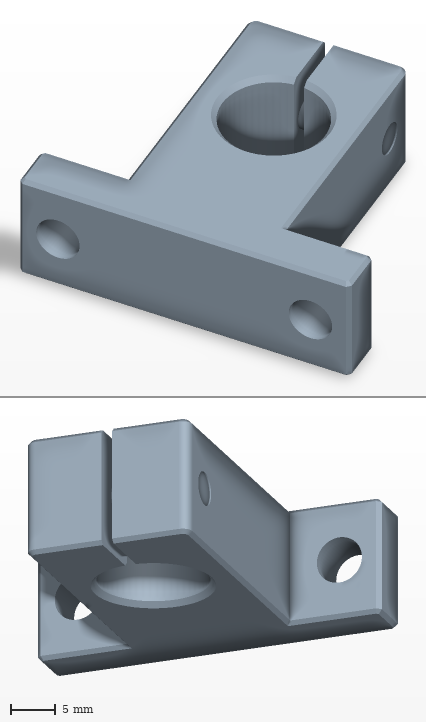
import cadquery as cq

foot_width = 42.0
total_height = 37.5
thickness = 14.0
foot_height = 6.0
neck_width = 20.0
edge_chamfer = 0.45
foot_corner_chamfer = 0.5
neck_corner_radius = 1.18

bore_diameter = 13.0
bore_chamfer = 0.65
bore_y = 23.0
slot_width = 1.3

mount_hole_diameter = 5.5
mount_hole_spacing = 32.0

pin_diameter = 4.0
pin_y = total_height - 5.0
pin_recess = 0.2
pin_length = neck_width - 2 * pin_recess


def make_blank():
    """T-shaped block with its outer edges broken, centred on X = 0 and Z = 0."""
    foot = (
        cq.Workplane("XY")
        .box(foot_width, foot_height, thickness, centered=(True, False, True))
        .edges("|Z")
        .chamfer(foot_corner_chamfer)
    )
    neck = (
        cq.Workplane("XY")
        .box(neck_width, total_height, thickness, centered=(True, False, True))
        .edges("|Z and >Y")
        .fillet(neck_corner_radius)
    )
    return foot.union(neck).faces("<Z or >Z").edges().chamfer(edge_chamfer)


def cut_bore(body):
    """Cut the shaft bore and chamfer both of its mouths."""
    body = body.cut(
        cq.Workplane("XY")
        .center(0, bore_y)
        .circle(bore_diameter / 2)
        .extrude(thickness / 2, both=True)
    )
    mouths = body.faces("<Z or >Z").edges("%CIRCLE").edges(
        cq.selectors.RadiusNthSelector(-1)
    )
    return mouths.chamfer(bore_chamfer)


def cut_slot(body):
    """Split the clamp from the bore to the end of the neck."""
    slot = cq.Workplane("XY").box(
        slot_width, total_height - bore_y, thickness, centered=(True, False, True)
    )
    return body.cut(slot.translate((0, bore_y, 0)))


def make_cross_cylinder(length):
    """Cylinder along X on the clamp pin axis, centred on X = 0."""
    return (
        cq.Workplane("YZ")
        .center(pin_y, 0)
        .circle(pin_diameter / 2)
        .extrude(length)
        .translate((-length / 2, 0, 0))
    )


def cut_mount_holes(body):
    """Drill the two mounting holes through the foot along Y."""
    for x in (-mount_hole_spacing / 2, mount_hole_spacing / 2):
        hole = (
            cq.Workplane("XZ")
            .center(x, 0)
            .circle(mount_hole_diameter / 2)
            .extrude(-foot_height)
        )
        body = body.cut(hole)
    return body


def make_housing():
    """Shaft support block with its bore, slot and holes."""
    body = make_blank()
    body = cut_bore(body)
    body = cut_slot(body)
    body = body.cut(make_cross_cylinder(neck_width))
    return cut_mount_holes(body)


housing = make_housing()
clamp_pin = make_cross_cylinder(pin_length)

result = cq.Compound.makeCompound([housing.val(), clamp_pin.val()])